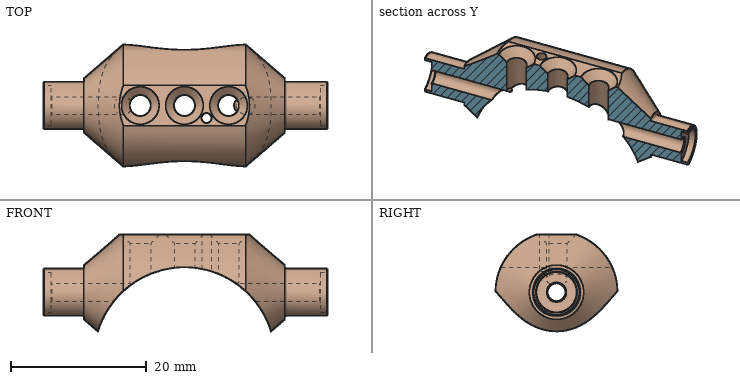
import cadquery as cq

barrel_radius = 9.0
barrel_half_length = 9.0
shoulder_radius = 4.0
shoulder_x = 14.8
stub_radius = 3.5
left_end_x = -20.77
overall_length = 41.85
right_end_x = left_end_x + overall_length
stub_edge_chamfer = 0.15
stub_root_fillet = 0.12

flat_z = 8.5
arch_radius = 13.3
arch_top_z = 3.67
arch_center_z = arch_top_z - arch_radius

screw_pitch = 6.5
screw_hole_radius = 1.53
countersink_radius = 2.77
countersink_depth = 1.27
pin_hole_radius = 0.72
pin_hole_x = screw_pitch / 2
pin_hole_y = -1.85

bore_radius = 1.3
bore_chamfer = 0.15
recess_radius = 2.95
recess_depth = 1.1
recess_chamfer = 0.1
core_radius = 1.5
core_start_x = screw_pitch


def x_cylinder(radius, start_x, end_x):
    """Cylinder about the X axis between two X positions."""
    return cq.Workplane("YZ", origin=(start_x, 0, 0)).circle(radius).extrude(end_x - start_x)


def turned_body():
    """Barrel, shoulders and stubs as one solid of revolution about X."""
    profile = (
        cq.Workplane("XY")
        .moveTo(left_end_x, 0)
        .lineTo(left_end_x, stub_radius - stub_edge_chamfer)
        .lineTo(left_end_x + stub_edge_chamfer, stub_radius)
        .lineTo(-shoulder_x - stub_root_fillet, stub_radius)
        .radiusArc((-shoulder_x, stub_radius + stub_root_fillet), -stub_root_fillet)
        .lineTo(-shoulder_x, shoulder_radius)
        .lineTo(-barrel_half_length, barrel_radius)
        .lineTo(barrel_half_length, barrel_radius)
        .lineTo(shoulder_x, shoulder_radius)
        .lineTo(shoulder_x, stub_radius + stub_root_fillet)
        .radiusArc((shoulder_x + stub_root_fillet, stub_radius), -stub_root_fillet)
        .lineTo(right_end_x - stub_edge_chamfer, stub_radius)
        .lineTo(right_end_x, stub_radius - stub_edge_chamfer)
        .lineTo(right_end_x, 0)
        .close()
    )
    return profile.revolve(360, (0, 0, 0), (1, 0, 0))


def above_flat():
    """Block that trims the barrel down to the top flat."""
    size = 2 * shoulder_x
    return cq.Workplane("XY", origin=(0, 0, flat_z)).rect(size, size).extrude(barrel_radius)


def arch():
    """Cylinder along Y that forms the saddle."""
    return (
        cq.Workplane("XZ", origin=(0, 0, arch_center_z))
        .circle(arch_radius)
        .extrude(2 * barrel_radius, both=True)
    )


def screw_hole(x):
    """Vertical through hole with a conical countersink at the top flat."""
    return (
        cq.Workplane("XZ")
        .moveTo(0, 0)
        .lineTo(screw_hole_radius, 0)
        .lineTo(screw_hole_radius, flat_z - countersink_depth)
        .lineTo(countersink_radius, flat_z)
        .lineTo(0, flat_z)
        .close()
        .revolve(360, (0, 0, 0), (0, 1, 0))
        .translate((x, 0, 0))
    )


def pin_hole():
    """Small vertical through hole."""
    return cq.Workplane("XY").center(pin_hole_x, pin_hole_y).circle(pin_hole_radius).extrude(flat_z)


def end_bore():
    """Full-length axial bore with a recess at each end, both chamfered at the mouth."""
    left_floor = left_end_x + recess_depth
    right_floor = right_end_x - recess_depth
    profile = (
        cq.Workplane("XY")
        .moveTo(left_end_x, 0)
        .lineTo(left_end_x, recess_radius + recess_chamfer)
        .lineTo(left_end_x + recess_chamfer, recess_radius)
        .lineTo(left_floor, recess_radius)
        .lineTo(left_floor, bore_radius + bore_chamfer)
        .lineTo(left_floor + bore_chamfer, bore_radius)
        .lineTo(right_floor - bore_chamfer, bore_radius)
        .lineTo(right_floor, bore_radius + bore_chamfer)
        .lineTo(right_floor, recess_radius)
        .lineTo(right_end_x - recess_chamfer, recess_radius)
        .lineTo(right_end_x, recess_radius + recess_chamfer)
        .lineTo(right_end_x, 0)
        .close()
    )
    return profile.revolve(360, (0, 0, 0), (1, 0, 0))


body = turned_body().cut(above_flat())
for index in (-1, 0, 1):
    body = body.cut(screw_hole(index * screw_pitch))
body = body.cut(pin_hole())

body = body.union(x_cylinder(core_radius, core_start_x, shoulder_x))
result = body.cut(arch()).cut(end_bore())